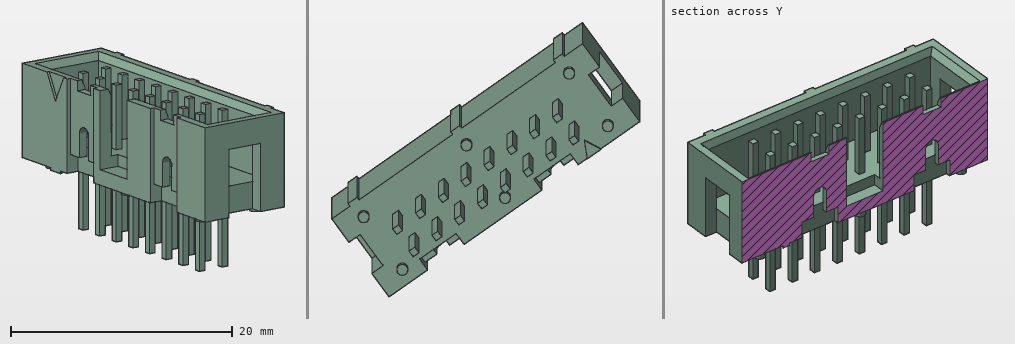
import cadquery as cq


PITCH = 2.54
PINS_PER_ROW = 8
ROWS = 2
PIN_WIDTH = 0.64
PIN_TAIL = 6.1
PIN_TOP_RECESS = 0.25

LENGTH = 27.9
WIDTH = 8.9
HEIGHT = 8.85
WALL = 1.25
FLOOR_HEIGHT = 2.55
LEAD_IN_X = 0.45
LEAD_IN_Y = 0.35
LEAD_IN_DEPTH = 0.7

END_SLOT_WIDTH = 3.55
END_SLOT_TOP = 6.4

KEY_WIDTH = 4.1
KEY_DEPTH = 2.0
KEY_BOTTOM = 1.45

RECESSES_X = (-2 * PITCH, 3 * PITCH)
RECESS_WIDTH = 4.05
RECESS_DEPTH = 0.4
NOTCH_WIDTH = 2.0
NOTCH_DEPTH = 0.95
WINDOW_WIDTH = 1.4
WINDOW_TOP = 4.65
RELIEF_HEIGHT = 1.7

MARK_WIDTH = 2.54
MARK_HEIGHT = 2.45
MARK_DEPTH = 0.25
PAD_WIDTH = 1.55
PAD_DEPTH = 1.55
PAD_HEIGHT = 0.25

STATION_SPACING = 4.5 * PITCH
RIB_WIDTH = 1.0
RIB_DEPTH = 0.3
PEG_DIAMETER = 1.0
PEG_HEIGHT = 0.6
PEG_Y = 3.0

FRONT_Y = -WIDTH / 2
REAR_Y = WIDTH / 2
PIN_1_X = -(PINS_PER_ROW - 1) * PITCH / 2
STATIONS_X = (-STATION_SPACING, 0, STATION_SPACING)


def block(x_size, y_size, z_bottom, z_top, x=0, y=0):
    """Box centred on (x, y) that spans z_bottom to z_top."""
    return (
        cq.Workplane("XY", origin=(x, y, z_bottom))
        .rect(x_size, y_size)
        .extrude(z_top - z_bottom)
    )


def front_block(x_size, depth, z_bottom, z_top, x=0):
    """Box that reaches back by depth from the housing's front face."""
    return block(x_size, depth, z_bottom, z_top, x, FRONT_Y + depth / 2)


def cavity():
    inner_length = LENGTH - 2 * WALL
    inner_width = WIDTH - 2 * WALL
    pocket = block(inner_length, inner_width, FLOOR_HEIGHT, HEIGHT)
    lead_in = (
        cq.Workplane("XY", origin=(0, 0, HEIGHT - LEAD_IN_DEPTH))
        .rect(inner_length, inner_width)
        .workplane(offset=LEAD_IN_DEPTH)
        .rect(inner_length + 2 * LEAD_IN_X, inner_width + 2 * LEAD_IN_Y)
        .loft(ruled=True)
    )
    return pocket.union(lead_in)


def end_slot(side):
    wall_center_x = side * (LENGTH - WALL) / 2
    return block(WALL, END_SLOT_WIDTH, 0, END_SLOT_TOP, wall_center_x)


def arched_window(x):
    spring_height = WINDOW_TOP - WINDOW_WIDTH / 2
    return (
        cq.Workplane("XZ", origin=(x, FRONT_Y, 0))
        .moveTo(-WINDOW_WIDTH / 2, 0)
        .lineTo(WINDOW_WIDTH / 2, 0)
        .lineTo(WINDOW_WIDTH / 2, spring_height)
        .threePointArc((0, WINDOW_TOP), (-WINDOW_WIDTH / 2, spring_height))
        .close()
        .extrude(-WALL)
    )


def front_recess(x):
    recess = front_block(RECESS_WIDTH, RECESS_DEPTH, 0, HEIGHT, x)
    relief = front_block(RECESS_WIDTH, WALL, 0, RELIEF_HEIGHT, x)
    notch = front_block(NOTCH_WIDTH, WALL, HEIGHT - NOTCH_DEPTH, HEIGHT, x)
    return recess.union(relief).union(notch).union(arched_window(x))


def pin_1_triangle():
    return (
        cq.Workplane("XZ", origin=(PIN_1_X, FRONT_Y, HEIGHT))
        .polyline([(-MARK_WIDTH / 2, 0), (MARK_WIDTH / 2, 0), (0, -MARK_HEIGHT)])
        .close()
        .extrude(-MARK_DEPTH)
    )


def pin_1_pad():
    return (
        cq.Workplane("XY", origin=(PIN_1_X, FRONT_Y, 0))
        .polyline([(-PAD_WIDTH / 2, 0), (PAD_WIDTH / 2, 0), (0, PAD_DEPTH)])
        .close()
        .extrude(-PAD_HEIGHT)
    )


def rear_ribs():
    return (
        cq.Workplane("XY")
        .pushPoints([(x, REAR_Y + RIB_DEPTH / 2) for x in STATIONS_X])
        .rect(RIB_WIDTH, RIB_DEPTH)
        .extrude(HEIGHT)
    )


def standoff_pegs():
    return (
        cq.Workplane("XY")
        .pushPoints([(x, y) for x in STATIONS_X for y in (-PEG_Y, PEG_Y)])
        .circle(PEG_DIAMETER / 2)
        .extrude(-PEG_HEIGHT)
    )


def pins():
    return (
        cq.Workplane("XY", origin=(0, 0, -PIN_TAIL))
        .rarray(PITCH, PITCH, PINS_PER_ROW, ROWS)
        .rect(PIN_WIDTH, PIN_WIDTH)
        .extrude(PIN_TAIL + HEIGHT - PIN_TOP_RECESS)
    )


def housing():
    body = block(LENGTH, WIDTH, 0, HEIGHT).cut(cavity())
    for side in (-1, 1):
        body = body.cut(end_slot(side))
    body = body.cut(front_block(KEY_WIDTH, KEY_DEPTH, KEY_BOTTOM, HEIGHT))
    for x in RECESSES_X:
        body = body.cut(front_recess(x))
    body = body.cut(pin_1_triangle())
    return body.union(pin_1_pad()).union(rear_ribs()).union(standoff_pegs())


result = housing().union(pins())